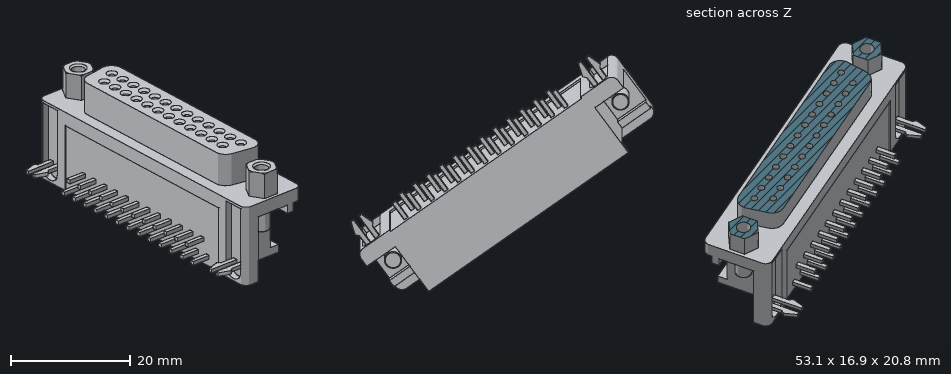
import cadquery as cq
import math


LENGTH = 53.05
DEPTH = 12.5
BODY_TOP = 14.85
CORNER_RADIUS = 1.3
FLANGE_THICKNESS = 2.55
WALL_THICKNESS = 2.9
FRONT_Y = -DEPTH / 2
BACK_Y = DEPTH / 2
FLANGE_BOTTOM = BODY_TOP - FLANGE_THICKNESS

HOUSING_LENGTH = 41.25
HOUSING_BACK_Y = 4.45
FOOT_HEIGHT = 1.5
LIP_WIDTH = 1.3
LIP_HEIGHT = 1.6

RECESS_LENGTH = 39.45
RECESS_TOP = 12.3
RECESS_DEPTH = 0.3

SHELL_TOP = 20.8
SHELL_DEPTH = 8.05
SHELL_MID_LENGTH = 38.0
SHELL_SLOPE = 10.0
SHELL_RADIUS = 2.1

CONTACT_PITCH = 2.75
LONG_ROW = 13
SHORT_ROW = 12
ROW_OFFSET = 1.45
SOCKET_MOUTH_DIAMETER = 1.9
SOCKET_BORE_DIAMETER = 1.05
SOCKET_CONE_DEPTH = 0.4
SOCKET_DEPTH = 4.25
PIN_WIDTH = 0.75
PIN_LENGTH = 3.15
PIN_LOW_Z = 1.75
PIN_ROW_SPACING = 2 * ROW_OFFSET

LOCK_X = 23.5
NUT_TOP = 19.55
NUT_FLATS = 4.85
NUT_SIDES = 6
NUT_HALF_ANGLE = 180 / NUT_SIDES
NUT_ROUND_DIAMETER = 5.1
NUT_EDGE_DROP = 0.15
NUT_BORE_DIAMETER = 2.35
NUT_MOUTH_DIAMETER = 2.95
SCREW_DIAMETER = 2.9
SCREW_BOTTOM = 7.8
SCREW_CHAMFER = 0.15

POCKET_WIDTH = 3.7
POCKET_TOP = 14.4
POCKET_BOTTOM = 0.5
POCKET_DEPTH = 1.2
CLIP_Z = 3.1
CLIP_THICKNESS = 0.7
CLIP_LENGTH = 4.35
CLIP_GAP_HALF = 0.55
CLIP_SHANK_HALF = 1.4
CLIP_BARB_HALF = 1.85
CLIP_TIP_HALF = 1.1
BARB_START = 1.55
BARB_PEAK = 2.1


def box(length, y_range, z_range):
    """Block centred in X, spanning the given Y and Z ranges."""
    y0, y1 = y_range
    z0, z1 = z_range
    block = cq.Workplane("XY").box(length, y1 - y0, z1 - z0)
    return block.translate((0, (y0 + y1) / 2, (z0 + z1) / 2))


def row_positions(count):
    """X positions of a contact row centred on the part."""
    return [(i - (count - 1) / 2) * CONTACT_PITCH for i in range(count)]


def cone(x, y, z_bottom, z_top, bottom_diameter, top_diameter):
    """Upright cone frustum centred on (x, y), used for countersinks and trims."""
    height = z_top - z_bottom
    solid = cq.Solid.makeCone(bottom_diameter / 2, top_diameter / 2, height, cq.Vector(x, y, z_bottom))
    return cq.Workplane(obj=solid)


def make_body():
    wall_back = FRONT_Y + WALL_THICKNESS
    rounded_block = box(LENGTH, (FRONT_Y, BACK_Y), (0, BODY_TOP)).edges("|Z").fillet(CORNER_RADIUS)
    rear_clearance = box(LENGTH, (wall_back, BACK_Y), (0, FLANGE_BOTTOM))
    body = rounded_block.cut(rear_clearance)

    lip_y = (HOUSING_BACK_Y - LIP_WIDTH, HOUSING_BACK_Y)
    body = body.union(box(HOUSING_LENGTH, (wall_back, HOUSING_BACK_Y), (0, FLANGE_BOTTOM)))
    body = body.union(box(HOUSING_LENGTH, (wall_back, BACK_Y), (0, FOOT_HEIGHT)))
    body = body.union(box(LENGTH, lip_y, (FLANGE_BOTTOM - LIP_HEIGHT, FLANGE_BOTTOM)))
    return body.cut(box(RECESS_LENGTH, (FRONT_Y, FRONT_Y + RECESS_DEPTH), (0, RECESS_TOP)))


def make_shell():
    half_depth = SHELL_DEPTH / 2
    spread = half_depth * math.tan(math.radians(SHELL_SLOPE))
    back_half = SHELL_MID_LENGTH / 2 + spread
    front_half = SHELL_MID_LENGTH / 2 - spread
    outline = [
        (-back_half, half_depth),
        (back_half, half_depth),
        (front_half, -half_depth),
        (-front_half, -half_depth),
    ]
    base = cq.Workplane("XY").workplane(offset=BODY_TOP)
    shell = base.polyline(outline).close().extrude(SHELL_TOP - BODY_TOP)
    return shell.edges("|Z").fillet(SHELL_RADIUS)


def make_sockets():
    """Cutting tools for the blind contact holes with their conical mouths."""
    centres = [(x, ROW_OFFSET) for x in row_positions(LONG_ROW)]
    centres += [(x, -ROW_OFFSET) for x in row_positions(SHORT_ROW)]
    top = cq.Workplane("XY").workplane(offset=SHELL_TOP).pushPoints(centres)
    sockets = top.circle(SOCKET_BORE_DIAMETER / 2).extrude(-SOCKET_DEPTH)
    cone_bottom = SHELL_TOP - SOCKET_CONE_DEPTH
    for x, y in centres:
        sockets = sockets.union(cone(x, y, cone_bottom, SHELL_TOP, SOCKET_BORE_DIAMETER, SOCKET_MOUTH_DIAMETER))
    return sockets


def make_pins():
    centres = [(x, PIN_LOW_Z) for x in row_positions(LONG_ROW)]
    centres += [(x, PIN_LOW_Z + PIN_ROW_SPACING) for x in row_positions(SHORT_ROW)]
    root = cq.Workplane("XZ", origin=(0, FRONT_Y + RECESS_DEPTH, 0)).pushPoints(centres)
    return root.rect(PIN_WIDTH, PIN_WIDTH).extrude(PIN_LENGTH + RECESS_DEPTH)


def make_screw_lock(x):
    corner_diameter = NUT_FLATS / math.cos(math.radians(NUT_HALF_ANGLE))
    nut = cq.Workplane("XY", origin=(x, 0, BODY_TOP)).transformed(rotate=(0, 0, NUT_HALF_ANGLE))
    nut = nut.polygon(NUT_SIDES, corner_diameter).extrude(NUT_TOP - BODY_TOP)

    shoulder = NUT_TOP - NUT_EDGE_DROP
    envelope = cq.Workplane("XY", origin=(x, 0, BODY_TOP)).circle(corner_diameter / 2)
    envelope = envelope.extrude(shoulder - BODY_TOP)
    envelope = envelope.union(cone(x, 0, shoulder, NUT_TOP, corner_diameter, NUT_ROUND_DIAMETER))
    nut = nut.intersect(envelope)

    screw = cq.Workplane("XY", origin=(x, 0, SCREW_BOTTOM)).circle(SCREW_DIAMETER / 2)
    screw = screw.extrude(BODY_TOP - SCREW_BOTTOM).faces("<Z").chamfer(SCREW_CHAMFER)
    return nut.union(screw)


def make_nut_bore(x):
    """Cutting tool for the blind, countersunk hole down to the flange."""
    countersink_depth = (NUT_MOUTH_DIAMETER - NUT_BORE_DIAMETER) / 2
    bore = cq.Workplane("XY", origin=(x, 0, BODY_TOP)).circle(NUT_BORE_DIAMETER / 2)
    bore = bore.extrude(NUT_TOP - BODY_TOP)
    cone_bottom = NUT_TOP - countersink_depth
    return bore.union(cone(x, 0, cone_bottom, NUT_TOP, NUT_BORE_DIAMETER, NUT_MOUTH_DIAMETER))


def make_pocket(x):
    """Cutting tool for a clip pocket with a square top and a round bottom."""
    half_width = POCKET_WIDTH / 2
    arc_z = POCKET_BOTTOM + half_width
    outline = cq.Workplane("XZ", origin=(x, FRONT_Y, 0)).moveTo(-half_width, POCKET_TOP)
    outline = outline.lineTo(-half_width, arc_z).threePointArc((0, POCKET_BOTTOM), (half_width, arc_z))
    return outline.lineTo(half_width, POCKET_TOP).close().extrude(-POCKET_DEPTH)


def make_clip(x):
    """Two mirrored barbed prongs standing on the pocket floor."""
    prong_outline = [
        (CLIP_GAP_HALF, FRONT_Y + POCKET_DEPTH),
        (CLIP_SHANK_HALF, FRONT_Y + POCKET_DEPTH),
        (CLIP_SHANK_HALF, FRONT_Y - BARB_START),
        (CLIP_BARB_HALF, FRONT_Y - BARB_PEAK),
        (CLIP_TIP_HALF, FRONT_Y - CLIP_LENGTH),
        (CLIP_GAP_HALF, FRONT_Y - CLIP_LENGTH),
    ]
    base = cq.Workplane("XY").workplane(offset=CLIP_Z - CLIP_THICKNESS / 2)
    prong = base.polyline(prong_outline).close().extrude(CLIP_THICKNESS)
    return prong.union(prong.mirror("YZ")).translate((x, 0, 0))


result = make_body().union(make_shell()).cut(make_sockets()).union(make_pins())
for lock_x in (-LOCK_X, LOCK_X):
    result = result.union(make_screw_lock(lock_x)).cut(make_nut_bore(lock_x))
    result = result.cut(make_pocket(lock_x)).union(make_clip(lock_x))